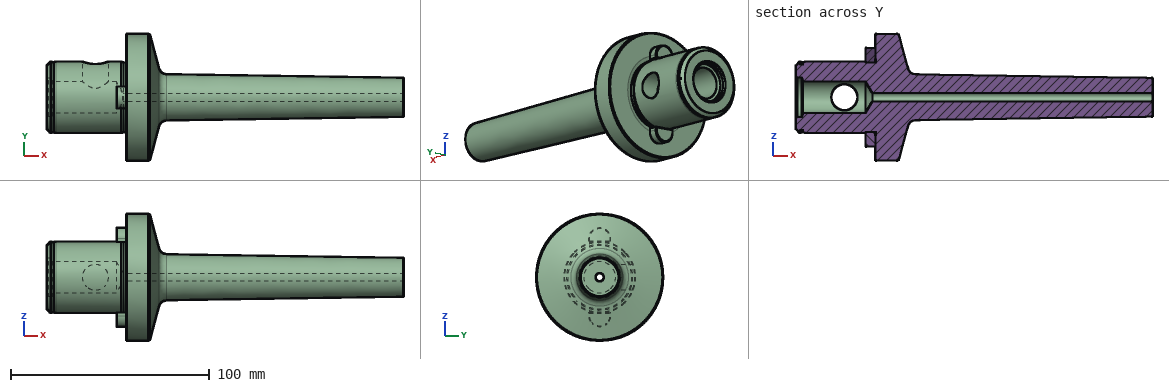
import cadquery as cq
import math


flange_radius = 32.0
flange_width = 12.0
flange_front_chamfer = 0.5
flange_back_chamfer_length = 1.1
flange_back_chamfer_height = 0.5
shoulder_angle = 15.0
shoulder_fillet = 3.8

stem_end = 139.5
stem_end_radius = 9.9
stem_root_x = 20.0
stem_root_radius = 11.7
stem_end_chamfer = 0.4

spigot_radius = 18.0
spigot_length = 40.0
nose_chamfer_length = 1.9
nose_chamfer_height = 2.0

lip_width = 0.5
groove_width = 1.2
groove_depth = 1.4
groove_lead_length = 1.1
groove_lead_depth = 0.2
seal_radius = groove_width / 2

undercut_width = 2.6
undercut_ramp = 1.1
undercut_depth = 0.4
undercut_face_radius = 20.0
undercut_face_depth = 0.4

mouth_radius = 10.6
mouth_chamfer = 0.9
counterbore_radius = mouth_radius - mouth_chamfer
counterbore_end = 3.0
seat_end = 3.7
bore_radius = 7.9
bore_depth = 35.0
drill_point_angle = 118.0
coolant_radius = 2.0

clamp_hole_radius = 6.5
clamp_hole_x = -15.5

pin_radius = 5.5
pin_center_radius = 19.4
pin_length = 5.0
pin_base_height = 17.7
pin_chamfer = 0.4


def revolve_about_x(sketch):
    return sketch.close().revolve(360, (0, 0, 0), (1, 0, 0))


nose_x = -spigot_length
groove_start = nose_x + nose_chamfer_length + lip_width
groove_end = groove_start + groove_width
groove_center = (groove_start + groove_end) / 2
groove_floor_radius = spigot_radius - groove_depth
seal_center_radius = groove_floor_radius + seal_radius


def make_body_blank():
    """Spigot, flange, conical shoulder and tapered stem as one turned shape."""
    flange_edge_radius = flange_radius - flange_back_chamfer_height
    slope = math.tan(math.radians(shoulder_angle))

    taper = (stem_root_radius - stem_end_radius) / (stem_end - stem_root_x)
    stem_radius_at_flange = stem_root_radius + taper * (stem_root_x - flange_width)
    corner_rise = (flange_edge_radius - stem_radius_at_flange) / (1 - taper * slope)
    corner_x = flange_width + corner_rise * slope
    corner_radius = flange_edge_radius - corner_rise

    blank = revolve_about_x(
        cq.Workplane("XY")
        .moveTo(nose_x, 0)
        .lineTo(nose_x, spigot_radius - nose_chamfer_height)
        .lineTo(nose_x + nose_chamfer_length, spigot_radius)
        .lineTo(groove_start, spigot_radius)
        .lineTo(groove_start, groove_floor_radius)
        .lineTo(groove_end, groove_floor_radius)
        .lineTo(groove_end, spigot_radius - groove_lead_depth)
        .lineTo(groove_end + groove_lead_length, spigot_radius)
        .lineTo(-undercut_width, spigot_radius)
        .lineTo(-undercut_width + undercut_ramp, spigot_radius - undercut_depth)
        .lineTo(undercut_face_depth, spigot_radius - undercut_depth)
        .lineTo(0, undercut_face_radius)
        .lineTo(0, flange_radius - flange_front_chamfer)
        .lineTo(flange_front_chamfer, flange_radius)
        .lineTo(flange_width - flange_back_chamfer_length, flange_radius)
        .lineTo(flange_width, flange_edge_radius)
        .lineTo(corner_x, corner_radius)
        .lineTo(stem_end, stem_end_radius)
        .lineTo(stem_end, 0)
    )
    margin = 0.5
    corner_box = cq.selectors.BoxSelector(
        (corner_x - margin, -flange_radius, -flange_radius),
        (corner_x + margin, flange_radius, flange_radius),
        boundingbox=True,
    )
    blank = blank.edges(corner_box).fillet(shoulder_fillet)
    return blank.faces(">X").edges().chamfer(stem_end_chamfer)


def make_bore():
    """Chamfered counterbore, conical seat, drilled bore and coolant hole."""
    half_point = math.radians(drill_point_angle / 2)
    point_length = (bore_radius - coolant_radius) / math.tan(half_point)
    return revolve_about_x(
        cq.Workplane("XY")
        .moveTo(nose_x, 0)
        .lineTo(nose_x, mouth_radius)
        .lineTo(nose_x + mouth_chamfer, counterbore_radius)
        .lineTo(nose_x + counterbore_end, counterbore_radius)
        .lineTo(nose_x + seat_end, bore_radius)
        .lineTo(nose_x + bore_depth, bore_radius)
        .lineTo(nose_x + bore_depth + point_length, coolant_radius)
        .lineTo(stem_end, coolant_radius)
        .lineTo(stem_end, 0)
    )


def make_clamp_hole():
    """Radial hole from the +Y side into the bore."""
    return cq.Workplane(
        cq.Solid.makeCylinder(
            clamp_hole_radius, flange_radius, cq.Vector(clamp_hole_x, 0, 0), cq.Vector(0, 1, 0)
        )
    )


def make_seal():
    """Round seal ring lying on the groove floor."""
    return (
        cq.Workplane("XY")
        .center(groove_center, seal_center_radius)
        .circle(seal_radius)
        .revolve(360, (0, -seal_center_radius, 0), (1, -seal_center_radius, 0))
    )


def make_drive_pin(side):
    """Round-topped pin on the flange face, its flat base let slightly into the spigot."""
    pin = (
        cq.Workplane("YZ")
        .moveTo(-pin_radius, pin_base_height)
        .lineTo(-pin_radius, pin_center_radius)
        .threePointArc((0, pin_center_radius + pin_radius), (pin_radius, pin_center_radius))
        .lineTo(pin_radius, pin_base_height)
        .close()
        .extrude(-pin_length)
        .faces("<X")
        .edges()
        .chamfer(pin_chamfer)
    )
    return pin if side > 0 else pin.rotate((0, 0, 0), (1, 0, 0), 180)


body = make_body_blank().cut(make_bore()).cut(make_clamp_hole())
seal = make_seal()
drive_pins = [make_drive_pin(side) for side in (1, -1)]

for pin in drive_pins:
    body = body.cut(pin)

result = cq.Compound.makeCompound([body.val(), seal.val(), *[pin.val() for pin in drive_pins]])